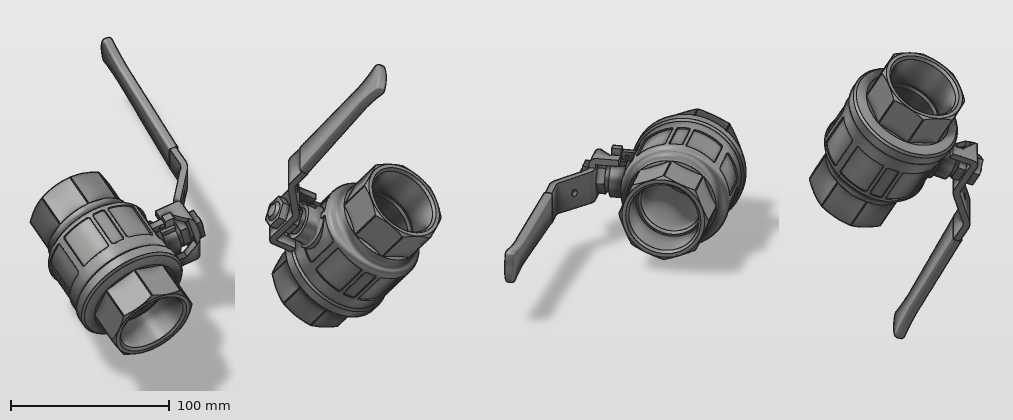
import cadquery as cq
import math


body_length = 108.5
half_length = body_length / 2
body_radius = 35.0
flange_radius = 36.5
neck_radius = 28.9
octagon_apothem = 26.8
octagon_end_radius = 26.6
octagon_chamfer = 1.5
left_octagon_end = -29.3
right_octagon_end = 30.1
left_octagon_lead = 1.0
neck_end = -26.6
neck_rise_middle = (-23.5, 29.7)
neck_rise_end = (-21.7, 31.8)
shoulder_middle = (-20.3, 33.8)
barrel_left = -17.8
barrel_right = 18.9
flange_left = 20.3
flange_right = 26.6
flange_chamfer = 1.5
flange_rear_middle = (28.7, 32.4)

bore_radius = 19.7
seat_radius = 21.3
thread_radius = 22.5
thread_mouth_radius = 24.2
thread_depth = 24.0
seat_depth = 1.6

pocket_angles = [(3.4, 36), (44, 79), (83, 97), (101, 136), (144, 176.6)]
pocket_depth = 1.0
pocket_left = -16.8
pocket_right = 9.5
pocket_corner = 1.5

boss_radius = 11.7
boss_top = 44.0
boss_flare = 2.5
boss_flare_start = 34.0
collar_radius = 8.8
hex_bottom = 47.3
hex_top = 62.3
hex_diameter = 20.3
tip_top = 64.1
tip_base_radius = 6.4
tip_top_radius = 4.3

block_half_width = 2.5
block_bottom = 38.0
block_reach = 22.0
shoulder_half_width = 4.5
shoulder_reach = 14.3
lug_width = 4.0
lug_top = 37.3
lug_reach = 19.9
lug_root = 25.6
lug_nose_z = 15.0
lug_heel_y = 33.6
lug_heel_z = 11.3
lug_hole_diameter = 2.0
lug_hole_y = 34.5
lug_hole_z = 16.8

grip_start_x = -52.7
arm_end_x = grip_start_x - 0.5
plate = 4.3
hub_top = 57.0
hub_bottom = hub_top - plate
hub_half_width = 10.9
strip_half_width = 10.2
arm_top = 76.2
lower_bend_x = -13.1
upper_bend_x = -36.5
taper_start_x = -12.3
bend_inner_radius = 6.1
lever_hole_diameter = 4.5
tab_bottom = 38.0
tab_outer_radius = 5.0
tab_inner_radius = 0.6

end_tab_x = 16.8
side_tab_z = 17.6
tab_start = -10.7
tab_foot = -3.3
tab_wide_end = 4.5
tab_shoulder = 45.3
hub_corner = side_tab_z + tab_wide_end

grip_start_y = 74.5
grip_tilt = 2.9
grip_length = 98.2
grip_thickness = 6.1
grip_edge_radius = 2.0
grip_start_half_width = 10.5
grip_neck = 72.3
grip_neck_half_width = 8.2
grip_corner = 94.7
head_half_width = 11.7
grip_corner_radius = 3.5
waist_position = 83.0
waist_half_width = 9.2


def box(x_range, y_range, z_range):
    """Box between two limits along each axis."""
    spans = [high - low for low, high in (x_range, y_range, z_range)]
    corner = (x_range[0], y_range[0], z_range[0])
    return cq.Workplane("XY").box(*spans, centered=False).translate(corner)


def around_x(points):
    """Solid turned about the X axis from (x, radius) points."""
    return cq.Workplane("XY").polyline(points).close().revolve(360, (0, 0, 0), (1, 0, 0))


def octagon_end(inner_x, outer_x):
    """Octagonal wrench end with corners on Y and Z, turned to its corner radius."""
    direction = math.copysign(1, outer_x)
    length = abs(outer_x - inner_x)
    corner_diameter = 2 * octagon_apothem / math.cos(math.pi / 8)
    prism = cq.Workplane("YZ").polygon(8, corner_diameter).extrude(direction * length)
    envelope = around_x([
        (0, 0),
        (0, neck_radius),
        (direction * (length - octagon_chamfer), neck_radius),
        (direction * length, octagon_end_radius),
        (direction * length, 0),
    ])
    return prism.intersect(envelope).translate((inner_x, 0, 0))


def turned_middle():
    """Round middle of the body: neck, barrel and flange."""
    return (
        cq.Workplane("XY")
        .moveTo(left_octagon_end - left_octagon_lead, 0)
        .lineTo(left_octagon_end - left_octagon_lead, octagon_apothem)
        .lineTo(left_octagon_end, neck_radius)
        .lineTo(neck_end, neck_radius)
        .threePointArc(neck_rise_middle, neck_rise_end)
        .threePointArc(shoulder_middle, (barrel_left, body_radius))
        .lineTo(barrel_right, body_radius)
        .lineTo(flange_left, flange_radius)
        .lineTo(flange_right, flange_radius)
        .lineTo(flange_right + flange_chamfer, flange_radius - flange_chamfer)
        .threePointArc(flange_rear_middle, (right_octagon_end, neck_radius))
        .lineTo(right_octagon_end, 0)
        .close()
        .revolve(360, (0, 0, 0), (1, 0, 0))
    )


def pocket(start, end):
    """Cutter for one round-cornered pocket between two angles."""
    floor = body_radius - pocket_depth
    cutter = (
        cq.Workplane("XY")
        .polyline([
            (pocket_left, -floor),
            (pocket_right, -floor),
            (pocket_right, -flange_radius),
            (pocket_left, -flange_radius),
        ])
        .close()
        .revolve(end - start, (0, 0, 0), (-1, 0, 0))
    )
    radial_edges = cutter.edges("%LINE").edges("not(|X)").vals()
    return cutter.newObject(radial_edges).fillet(pocket_corner).rotate((0, 0, 0), (-1, 0, 0), start)


def bore():
    """Through bore with a threaded socket at each end."""
    socket_end = half_length - thread_depth
    half_profile = [
        (socket_end - seat_depth, bore_radius),
        (socket_end, seat_radius),
        (socket_end, thread_radius),
        (half_length - (thread_mouth_radius - thread_radius), thread_radius),
        (half_length, thread_mouth_radius),
    ]
    mirrored = [(-x, radius) for x, radius in reversed(half_profile)]
    return around_x([(-half_length, 0)] + mirrored + half_profile + [(half_length, 0)])


def stem():
    """Flared boss, packing collar, hexagonal nut and stem tip."""
    flare_radius = boss_radius + boss_flare
    flare_top = boss_flare_start + boss_flare
    flare_middle = boss_flare * (1 - math.sqrt(0.5))
    turned = (
        cq.Workplane("XY")
        .lineTo(flare_radius, 0)
        .lineTo(flare_radius, boss_flare_start)
        .threePointArc((boss_radius + flare_middle, boss_flare_start + flare_middle), (boss_radius, flare_top))
        .lineTo(boss_radius, boss_top)
        .lineTo(collar_radius, boss_top)
        .lineTo(collar_radius, hex_bottom)
        .lineTo(tip_base_radius, hex_bottom)
        .lineTo(tip_base_radius, hex_top)
        .lineTo(tip_top_radius, tip_top)
        .lineTo(0, tip_top)
        .close()
        .revolve(360, (0, 0, 0), (0, 1, 0))
    )
    hexagon = (
        cq.Workplane("XZ", origin=(0, hex_bottom, 0))
        .polygon(6, hex_diameter)
        .extrude(hex_bottom - hex_top)
    )
    return turned.union(hexagon)


def stops():
    """Stop block on the boss and the drilled seal lug beside it."""
    block = box((-block_half_width, block_half_width), (block_bottom, boss_top), (0, block_reach))
    shoulder = box(
        (-shoulder_half_width, shoulder_half_width), (boss_flare_start, boss_top), (0, shoulder_reach)
    )
    lug = (
        cq.Workplane("YZ", origin=(-lug_width / 2, 0, 0))
        .polyline([
            (lug_root, 0),
            (lug_root, lug_reach),
            (lug_top, lug_reach),
            (lug_top, lug_nose_z),
            (lug_heel_y, lug_heel_z),
            (lug_heel_y, 0),
        ])
        .close()
        .extrude(lug_width)
    )
    hole = (
        cq.Workplane("YZ", origin=(-lug_width, lug_hole_y, lug_hole_z))
        .circle(lug_hole_diameter / 2)
        .extrude(2 * lug_width)
    )
    return block.union(shoulder).union(lug.cut(hole))


def lever_plate():
    """Cranked strip with the end tab folded down at +X."""
    slope = math.atan2(arm_top - hub_top, lower_bend_x - upper_bend_x)
    miter = plate * math.tan(slope / 2)
    strip = (
        cq.Workplane("XY", origin=(0, 0, -hub_half_width))
        .polyline([
            (arm_end_x, arm_top),
            (upper_bend_x, arm_top),
            (lower_bend_x, hub_top),
            (end_tab_x, hub_top),
            (end_tab_x, tab_bottom),
            (end_tab_x - plate, tab_bottom),
            (end_tab_x - plate, hub_bottom),
            (lower_bend_x - miter, hub_bottom),
            (upper_bend_x - miter, arm_top - plate),
            (arm_end_x, arm_top - plate),
        ])
        .close()
        .extrude(2 * hub_half_width)
    )

    bend_outer_radius = bend_inner_radius + plate
    bends = [
        (upper_bend_x, arm_top, bend_outer_radius),
        (upper_bend_x - miter, arm_top - plate, bend_inner_radius),
        (lower_bend_x, hub_top, bend_inner_radius),
        (lower_bend_x - miter, hub_bottom, bend_outer_radius),
        (end_tab_x, hub_top, tab_outer_radius),
        (end_tab_x - plate, hub_bottom, tab_inner_radius),
    ]
    for x, y, radius in bends:
        strip = strip.edges(cq.selectors.NearestToPointSelector((x, y, 0))).fillet(radius)

    outline = (
        cq.Workplane("XZ")
        .polyline([
            (arm_end_x, strip_half_width),
            (taper_start_x, hub_half_width),
            (hub_corner - hub_half_width, hub_half_width),
            (end_tab_x, hub_corner - end_tab_x),
            (end_tab_x, -hub_half_width),
            (taper_start_x, -hub_half_width),
            (arm_end_x, -strip_half_width),
        ])
        .close()
        .extrude(-arm_top)
    )
    strip = strip.intersect(outline)

    slope_x = (lower_bend_x + upper_bend_x - miter) / 2
    slope_y = (hub_bottom + arm_top) / 2
    hole_direction = cq.Vector(math.sin(slope), math.cos(slope), 0)
    hole_start = cq.Vector(slope_x, slope_y, 0) - hole_direction * plate
    hole = cq.Solid.makeCylinder(lever_hole_diameter / 2, 2 * plate, hole_start, hole_direction)

    tab_corner = (
        cq.Workplane("YZ", origin=(end_tab_x - plate, 0, 0))
        .polyline([
            (tab_bottom, tab_foot),
            (tab_shoulder, tab_foot),
            (hub_bottom, tab_wide_end),
            (hub_bottom, hub_half_width),
            (tab_bottom, hub_half_width),
        ])
        .close()
        .extrude(plate)
    )
    return strip.cut(cq.Workplane(hole)).cut(tab_corner)


def side_tab():
    """Tab folded down over the +Z side of the hub, with a slanted corner."""
    inner_z = side_tab_z - plate
    folded = (
        cq.Workplane("YZ", origin=(tab_start, 0, 0))
        .moveTo(hub_bottom, 0)
        .lineTo(hub_top, 0)
        .lineTo(hub_top, side_tab_z - tab_outer_radius)
        .radiusArc((hub_top - tab_outer_radius, side_tab_z), -tab_outer_radius)
        .lineTo(tab_bottom, side_tab_z)
        .lineTo(tab_bottom, inner_z)
        .lineTo(hub_bottom, inner_z)
        .close()
        .extrude(hub_corner - hub_half_width - tab_start)
    )
    corner = (
        cq.Workplane("XY")
        .polyline([
            (tab_foot, tab_bottom),
            (tab_foot, tab_shoulder),
            (tab_wide_end, hub_bottom),
            (end_tab_x, hub_bottom),
            (end_tab_x, tab_bottom),
        ])
        .close()
        .extrude(side_tab_z)
    )
    hub_corner_cut = (
        cq.Workplane("XZ")
        .polyline([(tab_wide_end, side_tab_z), (end_tab_x, side_tab_z), (end_tab_x, hub_corner - end_tab_x)])
        .close()
        .extrude(-hub_top)
    )
    return folded.cut(corner).cut(hub_corner_cut)


def grip():
    """Rounded sleeve on the lever: waisted, with a bulged head."""
    sleeve = (
        cq.Workplane("XZ", origin=(0, grip_thickness / 2, 0))
        .moveTo(0, grip_start_half_width)
        .lineTo(-grip_neck, grip_neck_half_width)
        .threePointArc((-waist_position, waist_half_width), (-grip_corner, head_half_width))
        .threePointArc((-grip_length, 0), (-grip_corner, -head_half_width))
        .threePointArc((-waist_position, -waist_half_width), (-grip_neck, -grip_neck_half_width))
        .lineTo(0, -grip_start_half_width)
        .close()
        .extrude(grip_thickness)
    )
    sleeve = sleeve.edges("|Y").edges("<X").fillet(grip_corner_radius)
    sleeve = sleeve.faces("|Y").edges("not(>X)").fillet(grip_edge_radius)
    return sleeve.rotate((0, 0, 0), (0, 0, 1), -grip_tilt).translate((grip_start_x, grip_start_y, 0))


body = turned_middle()
body = body.union(octagon_end(left_octagon_end, -half_length))
body = body.union(octagon_end(right_octagon_end, half_length))
for start, end in pocket_angles:
    body = body.cut(pocket(start, end))
    body = body.cut(pocket(-end, -start))

lever = lever_plate().union(side_tab()).union(grip())
result = body.union(stem()).union(stops()).cut(bore()).union(lever)